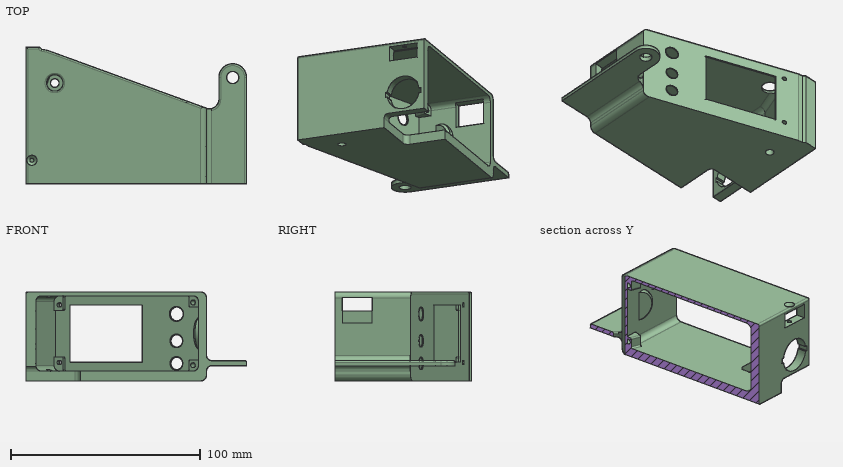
import cadquery as cq
import math

body_width = 95.4
body_height = 47.0
back_depth = 72.2
right_depth = 40.0
slope = 20.0
lip_width = 7.2
lip_height = 1.2
ledge_end = 11.2
outer_radius = 3.3
top_edge_radius = 1.0

left_wall = 5.2
right_wall = 4.3
top_wall = 2.1
floor = 5.2
panel = 0.8
inner_radius = 3.0
back_corner_x = 15.7
ceiling = body_height - top_wall
inner_right = body_width - right_wall

total_width = 116.5
tab_bottom = 8.0
tab_thickness = 2.8
tab_end_radius = 7.3
tab_length = 63.5
tab_hole_radius = 3.1
tab_neck_radius = 4.9
tab_root_radius = 2.7
tab_root_depth = 39.7
tab_edge_radius = 1.0
tab_start = body_width - right_wall / 2
tab_hole_x = total_width - tab_end_radius
tab_hole_y = tab_length - tab_end_radius

post_radius = 0.8
left_post_depth = panel + 2.5
left_post_width = 5.1
left_post_low_top = 12.8
left_post_high_bottom = 37.3
left_screw_x = 17.6
left_screw_heights = (9.8, 40.2)
left_screw_radius = 1.2
right_post_depth = 7.2
right_post_x = 86.0
right_post_low_top = 11.2
right_post_high_bottom = 39.0
right_screw_x = 88.2
right_screw_heights = (8.4, 41.5)
right_screw_radius = 1.3

window_left = 23.3
window_right = 61.4
window_bottom = 10.0
window_top = 40.1
button_x = 79.4
button_holes = ((9.3, 3.3), (21.2, 3.3), (35.4, 3.6))
button_chamfer = 0.3

boss_tip = (91.2, 31.2, 25.2)
boss_radius = 9.3
boss_length = 3.5
boss_chamfer = 1.3

port_front = 4.0
port_back = 19.7
left_port_bottom = 37.0
left_port_top = 45.0
right_port_bottom = 30.6
right_port_top = 44.0
socket_y = 12.0
socket_z = 18.3
socket_radius = 9.1
key_span = 20.1
key_height = 2.8

notch_width = 28.8
notch_depth = 22.8
notch_height = 7.7
notch_wall_radius = 2.3
notch_floor_radius = 2.8

access_x = 15.3
access_y = 53.2
access_radius = 4.3
access_rim_radius = 0.8
access_clearance = 0.8
floor_hole_radius = 2.2
pin_x = 3.1
pin_y = 12.5
pin_radius = 1.0
pin_rim_radius = 2.7
pin_depth = 1.7

overlap = 1.2

slope_cos = math.cos(math.radians(slope))
slope_sin = math.sin(math.radians(slope))
slope_tan = math.tan(math.radians(slope))
along_slope = (slope_cos, -slope_sin, 0)
into_housing = (-slope_sin, -slope_cos, 0)

panel_plane = cq.Plane(origin=(body_width, right_depth, 0), xDir=along_slope, normal=into_housing)


def back_y(x, depth=0.0):
    """Y at x of a surface the given depth below the sloped outer face."""
    return right_depth + (body_width - x) * slope_tan - depth / slope_cos


def slope_position(x, depth):
    """Distance along the slope of a point at x, the given depth below the outer face."""
    return (x - body_width + depth * slope_sin) / slope_cos


def box(x0, x1, y0, y1, z0, z1):
    return cq.Workplane("XY").box(x1 - x0, y1 - y0, z1 - z0, centered=False).translate((x0, y0, z0))


def vertical_cylinder(x, y, radius, z0, z1):
    return cq.Workplane("XY").workplane(offset=z0).center(x, y).circle(radius).extrude(z1 - z0)


def panel_cylinder(x, x_depth, z, radius, start, end, taper=0):
    """Cylinder or cone square to the panel between two depths, centred on x at x_depth."""
    plane = cq.Workplane(panel_plane).workplane(offset=start)
    return plane.center(slope_position(x, x_depth), z).circle(radius).extrude(end - start, taper=taper)


def make_body():
    ledge_y = back_depth - lip_height
    outline = [
        (0, 0),
        (body_width, 0),
        (body_width, right_depth),
        (ledge_end, back_y(ledge_end)),
        (lip_width + lip_height, ledge_y),
        (lip_width, back_depth),
        (0, back_depth),
    ]
    body = cq.Workplane("XY").polyline(outline).close().extrude(body_height)
    body = body.faces(">Z").edges("not(>X or <Y)").fillet(top_edge_radius)
    envelope = box(0, body_width, 0, back_depth, 0, body_height)
    return body.intersect(envelope.edges("|Y and >X").fillet(outer_radius))


def make_tab():
    neck_x = total_width - 2 * tab_end_radius
    neck_y = tab_root_depth + tab_neck_radius
    neck_start_x = neck_x - tab_neck_radius
    diagonal = tab_neck_radius * math.sqrt(0.5)
    tab = (
        cq.Workplane("XY")
        .workplane(offset=tab_bottom)
        .moveTo(tab_start, 0)
        .lineTo(total_width, 0)
        .lineTo(total_width, tab_hole_y)
        .threePointArc((tab_hole_x, tab_length), (neck_x, tab_hole_y))
        .lineTo(neck_x, neck_y)
        .threePointArc((neck_start_x + diagonal, neck_y - diagonal), (neck_start_x, tab_root_depth))
        .lineTo(tab_start, tab_root_depth)
        .close()
        .extrude(tab_thickness)
    )
    return tab.faces(">Z").edges("not(<X or <Y)").fillet(tab_edge_radius)


def make_tab_root():
    """Flare that blends the tab into the side of the housing."""
    tab_top = tab_bottom + tab_thickness
    tip_x = body_width + tab_root_radius
    bulge = tab_root_radius * (1 - math.sqrt(0.5))
    return (
        cq.Workplane("XZ")
        .moveTo(tab_start, tab_bottom - tab_root_radius)
        .lineTo(body_width, tab_bottom - tab_root_radius)
        .threePointArc((body_width + bulge, tab_bottom - bulge), (tip_x, tab_bottom))
        .lineTo(tip_x, tab_top)
        .threePointArc((body_width + bulge, tab_top + bulge), (body_width, tab_top + tab_root_radius))
        .lineTo(tab_start, tab_top + tab_root_radius)
        .close()
        .extrude(-tab_root_depth)
    )


def make_cavity():
    """Open-fronted inside; its left wall bends to meet the sloped panel squarely."""
    corner_y = back_y(back_corner_x, panel)
    bend_y = corner_y - (back_corner_x - left_wall) / slope_tan
    outline = [
        (left_wall, -overlap),
        (inner_right, -overlap),
        (inner_right, back_y(inner_right, panel)),
        (back_corner_x, corner_y),
        (left_wall, bend_y),
    ]
    cavity = cq.Workplane("XY").workplane(offset=floor).polyline(outline).close().extrude(ceiling - floor)
    straight_edges = cavity.faces("<X or >X").edges("|Y")
    around_slanted_wall = cq.selectors.BoxSelector(
        (left_wall, bend_y, 0), (back_corner_x, corner_y, body_height)
    )
    slanted_edges = cavity.edges("#Z").edges(around_slanted_wall)
    return cavity.newObject(straight_edges.vals() + slanted_edges.vals()).fillet(inner_radius)


def make_post(wall_u, free_u, base_z, free_z, depth):
    """Post with a flared foot at base_z and a rounded free corner; u runs along the slope."""
    side = math.copysign(post_radius, free_u - wall_u)
    rise = math.copysign(post_radius, free_z - base_z)
    inset = 1 - math.sqrt(0.5)
    return (
        cq.Workplane(panel_plane)
        .moveTo(wall_u, base_z)
        .lineTo(free_u + side, base_z)
        .threePointArc((free_u + side * inset, base_z + rise * inset), (free_u, base_z + rise))
        .lineTo(free_u, free_z - rise)
        .threePointArc((free_u - side * inset, free_z - rise * inset), (free_u - side, free_z))
        .lineTo(wall_u, free_z)
        .close()
        .extrude(depth)
    )


def make_posts():
    left_wall_u = slope_position(back_corner_x, panel)
    left_free_u = left_wall_u + left_post_width
    right_wall_u = slope_position(body_width, right_post_depth)
    right_free_u = slope_position(right_post_x, right_post_depth)
    return (
        make_post(left_wall_u, left_free_u, floor, left_post_low_top, left_post_depth)
        .union(make_post(left_wall_u, left_free_u, ceiling, left_post_high_bottom, left_post_depth))
        .union(make_post(right_wall_u, right_free_u, floor, right_post_low_top, right_post_depth))
        .union(make_post(right_wall_u, right_free_u, ceiling, right_post_high_bottom, right_post_depth))
    )


def make_boss():
    """Chamfered disc whose axis runs along the slope into the right wall."""
    tip_plane = cq.Plane(origin=boss_tip, normal=along_slope)
    disc = cq.Workplane(tip_plane).circle(boss_radius).extrude(boss_length)
    return disc.faces("<X").chamfer(boss_chamfer)


def cut_panel_openings(part):
    part = part.cut(box(window_left, window_right, right_depth, back_depth, window_bottom, window_top))
    for z, radius in button_holes:
        part = part.cut(panel_cylinder(button_x, panel, z, radius, -overlap, panel + overlap))
        rim = panel_cylinder(button_x, panel, z, radius + button_chamfer, panel, panel - button_chamfer, 45)
        part = part.cut(rim)
    for z in left_screw_heights:
        end = left_post_depth + overlap
        part = part.cut(panel_cylinder(left_screw_x, left_post_depth, z, left_screw_radius, -overlap, end))
    for z in right_screw_heights:
        end = right_post_depth + overlap
        part = part.cut(panel_cylinder(right_screw_x, right_post_depth, z, right_screw_radius, panel, end))
    return part


def cut_side_openings(part):
    left_port = (port_front, port_back, left_port_bottom, left_port_top)
    right_port = (port_front, port_back, right_port_bottom, right_port_top)
    part = part.cut(box(-overlap, left_wall + overlap, *left_port))
    part = part.cut(box(inner_right - overlap, body_width + overlap, *right_port))
    socket = cq.Workplane("YZ").center(socket_y, socket_z)
    part = part.cut(socket.circle(socket_radius).extrude(left_wall + overlap))
    return part.cut(socket.rect(key_span, key_height).extrude(left_wall + overlap))


def cut_notch(part):
    wall_end = left_wall + inner_radius
    wall_cut = box(-overlap, wall_end, -overlap, notch_depth, -overlap, notch_height)
    floor_cut = box(-overlap, notch_width, -overlap, notch_depth, -overlap, floor)
    part = part.cut(wall_cut.edges("|X and >Y and >Z").fillet(notch_wall_radius))
    return part.cut(floor_cut.edges("|Z and >X and >Y").fillet(notch_floor_radius))


def cut_access_holes(part):
    """Wide rounded hole in the top above a smaller hole in the floor."""
    part = part.cut(
        vertical_cylinder(access_x, access_y, access_radius, ceiling - access_clearance, body_height)
    )
    part = part.cut(vertical_cylinder(access_x, access_y, access_radius, floor, floor + access_clearance))
    part = part.cut(vertical_cylinder(access_x, access_y, floor_hole_radius, 0, floor))
    reach = access_radius + overlap
    around_rim = cq.selectors.BoxSelector(
        (access_x - reach, access_y - reach, body_height - access_clearance),
        (access_x + reach, access_y + reach, body_height + overlap),
        boundingbox=True,
    )
    return part.edges(around_rim).fillet(access_rim_radius)


def cut_pin_hole(part):
    """Countersunk hole through the top of the left port and into its sill."""
    sink_depth = pin_rim_radius - pin_radius
    sink_bottom = cq.Vector(pin_x, pin_y, body_height - sink_depth)
    countersink = cq.Solid.makeCone(pin_radius, pin_rim_radius, sink_depth, pnt=sink_bottom)
    pin_bottom = left_port_bottom - pin_depth
    return part.cut(vertical_cylinder(pin_x, pin_y, pin_radius, pin_bottom, body_height)).cut(
        cq.Workplane(countersink)
    )


cavity = make_cavity()
result = make_body().union(make_tab()).union(make_tab_root()).cut(cavity)
result = result.union(make_posts().union(make_boss()).intersect(cavity))
result = cut_panel_openings(result)
result = cut_side_openings(result)
result = cut_notch(result)
result = cut_access_holes(result)
result = cut_pin_hole(result)
result = result.cut(vertical_cylinder(tab_hole_x, tab_hole_y, tab_hole_radius, 0, body_height))